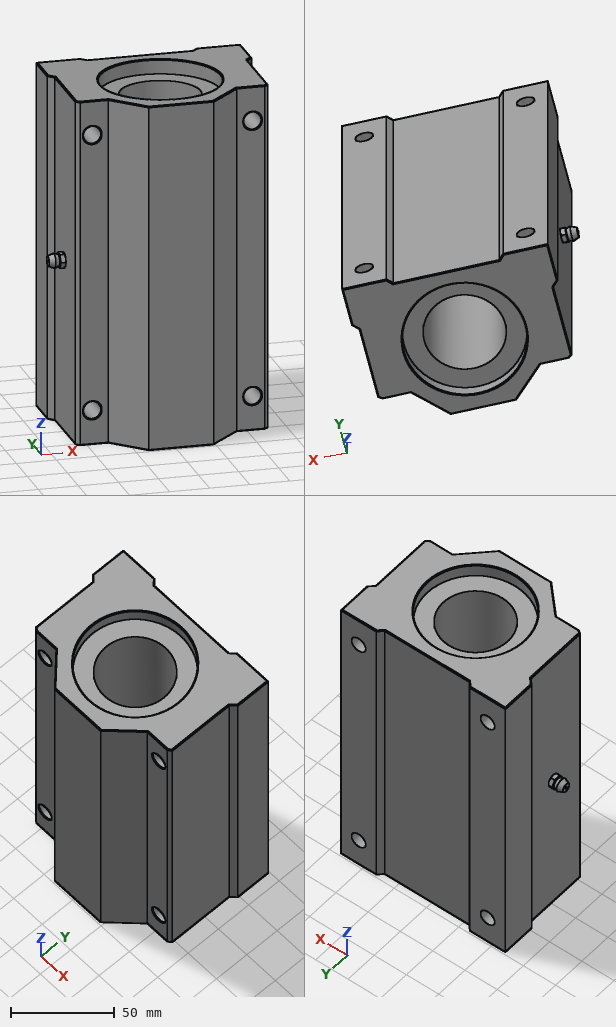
import cadquery as cq
import math

length = 175.0
width = 102.0
mount_face_y = 40.0
height = 78.0
nose_face_y = mount_face_y - height
waist_width = 96.0
side_step = (width - waist_width) / 2
side_step_y = 20.0
shoulder_y = -22.0
shoulder_chamfer_x = 2.0
shoulder_chamfer_y = 1.4
nose_width = 32.4
nose_slope = shoulder_y - nose_face_y
relief_width = 58.0
relief_depth = 2.8
end_chamfer = 0.5

bearing_diameter = 60.0
shaft_diameter = 40.0
bearing_inset = 7.5

bolt_hole_diameter = 8.8
bolt_spacing_x = 80.0
bolt_spacing_z = 140.0
bolt_hole_chamfer = 0.44

overall_width = 107.5
nipple_reach = overall_width - width / 2
hex_across_flats = 7.0
hex_height = 3.0
hex_chamfer = 0.4
hex_corner_trim = 0.5
neck_radius = 3.0
flange_radius = 3.7
flange_height = 5.0
face_radius = 2.5
tip_radius = 0.5
tip_height = 0.4


def make_profile():
    """Outline of the housing in XY, mirrored about the YZ plane."""
    half_width = width / 2
    half_waist = waist_width / 2
    right_side = [
        (relief_width / 2 - relief_depth, mount_face_y - relief_depth),
        (relief_width / 2, mount_face_y),
        (half_width, mount_face_y),
        (half_width, side_step_y),
        (half_waist, side_step_y - side_step),
        (half_waist, shoulder_y + shoulder_chamfer_y),
        (half_waist - shoulder_chamfer_x, shoulder_y),
        (nose_width / 2 + nose_slope, shoulder_y),
        (nose_width / 2, nose_face_y),
    ]
    left_side = [(-x, y) for x, y in reversed(right_side)]
    return right_side + left_side


def make_bolt_cutter(x, z):
    """Through hole along Y, countersunk where it opens on the shoulder."""
    radius = bolt_hole_diameter / 2
    mouth_radius = radius + bolt_hole_chamfer
    cutter = (
        cq.Workplane("XY")
        .polyline([
            (0, shoulder_y),
            (mouth_radius, shoulder_y),
            (radius, shoulder_y + bolt_hole_chamfer),
            (radius, mount_face_y),
            (0, mount_face_y),
        ])
        .close()
        .revolve(360, (0, 0, 0), (0, 1, 0))
    )
    return cutter.translate((x, 0, z))


def make_housing():
    block = (
        cq.Workplane("XY")
        .polyline(make_profile())
        .close()
        .extrude(length / 2, both=True)
    )
    bore = cq.Workplane("XY").circle(bearing_diameter / 2).extrude(length / 2, both=True)
    body = block.cut(bore).faces("<Z or >Z").chamfer(end_chamfer)
    for x in (-bolt_spacing_x / 2, bolt_spacing_x / 2):
        for z in (-bolt_spacing_z / 2, bolt_spacing_z / 2):
            body = body.cut(make_bolt_cutter(x, z))
    return body


def make_bearing():
    half_length = length / 2 - bearing_inset
    return (
        cq.Workplane("XY")
        .circle(bearing_diameter / 2)
        .circle(shaft_diameter / 2)
        .extrude(half_length, both=True)
    )


def make_nipple():
    """Hexagon base and tapered head, built upward along Z and then laid along -X."""
    hex_radius = hex_across_flats / math.sqrt(3)
    total_height = nipple_reach - waist_width / 2
    face_height = total_height - tip_height

    hexagon = cq.Workplane("XY").polygon(6, 2 * hex_radius).extrude(hex_height)
    hexagon = hexagon.faces(">Z").chamfer(hex_chamfer)
    hexagon = hexagon.rotate((0, 0, 0), (0, 0, 1), 90)
    corner_cone = (
        cq.Workplane("XY").circle(hex_radius).extrude(hex_height).faces("<Z").chamfer(hex_corner_trim)
    )
    head = (
        cq.Workplane("XZ")
        .polyline([
            (0, 0),
            (neck_radius, 0),
            (neck_radius, hex_height),
            (flange_radius, flange_height),
            (face_radius, face_height),
            (tip_radius, face_height),
            (tip_radius, total_height),
            (0, total_height),
        ])
        .close()
        .revolve(360, (0, 0, 0), (0, 1, 0))
    )
    nipple = hexagon.intersect(corner_cone).union(head)
    return nipple.rotate((0, 0, 0), (0, 1, 0), -90).translate((-waist_width / 2, 0, 0))


housing = make_housing()
bearing = make_bearing()
nipple = make_nipple()

result = cq.Compound.makeCompound([housing.val(), bearing.val(), nipple.val()])